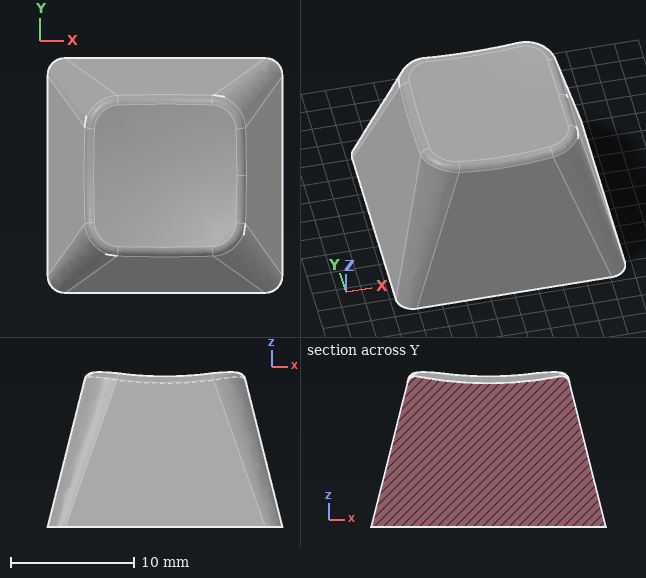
import cadquery as cq

base_side = 19.05
base_corner_radius = 1.41
blank_top_side = 12.35
blank_top_corner_radius = 2.75
blank_height = 13.34

dish_radius = 29.9
dish_bottom_height = 11.65
rim_fillet = 0.67


def rounded_square(side, corner_radius):
    return cq.Sketch().rect(side, side).vertices().fillet(corner_radius)


def tapered_blank():
    base = rounded_square(base_side, base_corner_radius)
    top = rounded_square(blank_top_side, blank_top_corner_radius)
    top = top.moved(cq.Location(cq.Vector(0, 0, blank_height)))
    return cq.Workplane("XY").placeSketch(base, top).loft(ruled=True)


def dish_cutter():
    center_height = dish_bottom_height + dish_radius
    return cq.Workplane("XY").sphere(dish_radius).translate((0, 0, center_height))


dished_cap = tapered_blank().cut(dish_cutter())

rim_edges = dished_cap.faces("%SPHERE").edges()
result = rim_edges.fillet(rim_fillet)